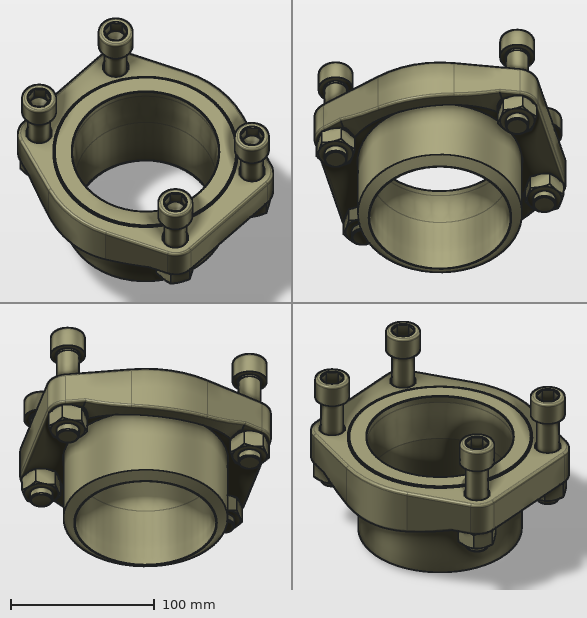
import cadquery as cq
import math

hex_sides = 6
hex_corner_ratio = 1 / math.cos(math.pi / hex_sides)

bolt_x = 65.1
bolt_y = 38.9
bolt_places = [(x, y) for x in (-bolt_x, bolt_x) for y in (-bolt_y, bolt_y)]

collar_top = 80.0
neck_diameter = 114.2
shoulder_diameter = 127.0
shoulder_height = 11.2
mouth_diameter = 102.0
collar_chamfer = 0.5
mouth_depth = 5.0
tube_bore_diameter = 98.2
taper_end = 46.2
weld_bevel_height = 4.2
weld_bevel_width = 7.4
shoulder_bottom = collar_top - shoulder_height

flange_length = 160.0
flange_width = 149.6
flange_top = 79.4
plate_thickness = 25.0
bulge_depth = 10.0
bulge_half_length = 57.0
flange_edge_radius = 2.0
diameter_clearance = 0.8
recess_chamfer = 0.5
bolt_hole_diameter = 18.0
relief_diameter = 130.4
plate_bottom = flange_top - plate_thickness
bulge_bottom = plate_bottom - bulge_depth

screw_top = 121.6
head_diameter = 24.0
head_height = 16.0
head_edge_radius = 1.6
shank_diameter = 15.7
shank_length = 70.0
root_diameter = 17.0
root_height = 1.3
tip_diameter = 14.4
tip_height = 1.0
socket_width = 14.0
socket_depth = 9.6
socket_turn = 39.0
socket_mouth_diameter = 16.3
socket_mouth_angle = 60.0
socket_point_angle = 60.0
head_bottom = screw_top - head_height
screw_bottom = head_bottom - shank_length

nut_width = 24.0
nut_height = 13.0
nut_chamfer_angle = 30.0
nut_corner_diameter = nut_width * hex_corner_ratio
nut_seat_clearance = 0.2
nut_seat_diameter = nut_corner_diameter + nut_seat_clearance


def disc(diameter, bottom, top):
    """A cylinder on the Z axis between two heights."""
    return cq.Workplane("XY").workplane(offset=bottom).circle(diameter / 2).extrude(top - bottom)


def turned(points):
    """A body turned about the Z axis from (radius, height) points."""
    return cq.Workplane("XZ").polyline(points).close().revolve(360, (0, 0), (0, 1))


def hexagon(width, bottom, top):
    """A hexagonal prism on the Z axis, measured across its flats."""
    return (
        cq.Workplane("XY")
        .workplane(offset=bottom)
        .polygon(hex_sides, width * hex_corner_ratio)
        .extrude(top - bottom)
    )


def make_collar():
    neck_radius = neck_diameter / 2
    shoulder_radius = shoulder_diameter / 2
    mouth_radius = mouth_diameter / 2
    bore_radius = tube_bore_diameter / 2
    return turned([
        (bore_radius, 0),
        (neck_radius - weld_bevel_width, 0),
        (neck_radius, weld_bevel_height),
        (neck_radius, shoulder_bottom),
        (shoulder_radius, shoulder_bottom),
        (shoulder_radius, collar_top - collar_chamfer),
        (shoulder_radius - collar_chamfer, collar_top),
        (mouth_radius + collar_chamfer, collar_top),
        (mouth_radius, collar_top - collar_chamfer),
        (mouth_radius, collar_top - mouth_depth),
        (bore_radius, taper_end),
    ])


def flange_block(bottom):
    """A block with the flange outline, from a given height up to the flange top.

    Corner arcs around the bolts are joined to two large arcs about the centre by tangent lines.
    """
    side_x = flange_length / 2
    arc_radius = flange_width / 2
    corner_radius = side_x - bolt_x
    bolt_distance = math.hypot(bolt_x, bolt_y)
    bolt_direction = math.atan2(bolt_y, bolt_x)
    normal = bolt_direction + math.acos((arc_radius - corner_radius) / bolt_distance)

    def on_arc(angle):
        return arc_radius * math.cos(angle), arc_radius * math.sin(angle)

    def on_corner(angle):
        return bolt_x + corner_radius * math.cos(angle), bolt_y + corner_radius * math.sin(angle)

    corner_end = on_corner(normal)
    corner_mid = on_corner(normal / 2)
    arc_start = on_arc(normal)

    def left(point):
        return -point[0], point[1]

    def low(point):
        return point[0], -point[1]

    return (
        cq.Workplane("XY")
        .workplane(offset=bottom)
        .moveTo(side_x, -bolt_y)
        .lineTo(side_x, bolt_y)
        .threePointArc(corner_mid, corner_end)
        .lineTo(*arc_start)
        .threePointArc((0, arc_radius), left(arc_start))
        .lineTo(*left(corner_end))
        .threePointArc(left(corner_mid), (-side_x, bolt_y))
        .lineTo(-side_x, -bolt_y)
        .threePointArc(left(low(corner_mid)), left(low(corner_end)))
        .lineTo(*left(low(arc_start)))
        .threePointArc((0, -arc_radius), low(arc_start))
        .lineTo(*low(corner_end))
        .threePointArc(low(corner_mid), (side_x, -bolt_y))
        .close()
        .extrude(flange_top - bottom)
    )


def bulge_envelope():
    """Everything above the arc of the bulge, as a block across the full width."""
    side_x = flange_length / 2
    arc_radius = (bulge_half_length**2 + bulge_depth**2) / (2 * bulge_depth)
    side_rise = arc_radius - math.sqrt(arc_radius**2 - side_x**2)
    side_z = bulge_bottom + side_rise
    return (
        cq.Workplane("XZ")
        .moveTo(-side_x, flange_top)
        .lineTo(-side_x, side_z)
        .threePointArc((0, bulge_bottom), (side_x, side_z))
        .lineTo(side_x, flange_top)
        .close()
        .extrude(flange_width / 2, both=True)
    )


def make_flange():
    plate = flange_block(plate_bottom).edges("not |Z").fillet(flange_edge_radius)
    bulge = flange_block(bulge_bottom).intersect(bulge_envelope())
    bulge = bulge.edges("not |Z").fillet(flange_edge_radius)
    body = plate.union(bulge)

    bore = disc(neck_diameter + diameter_clearance, bulge_bottom, flange_top)
    recess_radius = (shoulder_diameter + diameter_clearance) / 2
    recess = turned([
        (0, shoulder_bottom),
        (recess_radius, shoulder_bottom),
        (recess_radius, flange_top - recess_chamfer),
        (recess_radius + recess_chamfer, flange_top),
        (0, flange_top),
    ])
    relief = disc(relief_diameter, bulge_bottom, plate_bottom)
    body = body.cut(bore).cut(recess).cut(relief)
    for place in bolt_places:
        hole = disc(bolt_hole_diameter, bulge_bottom, flange_top).translate(place + (0,))
        seat = disc(nut_seat_diameter, bulge_bottom, plate_bottom).translate(place + (0,))
        body = body.cut(hole).cut(seat)
    return body


def make_screw():
    shank_radius = shank_diameter / 2
    shank = turned([
        (0, screw_bottom),
        (tip_diameter / 2, screw_bottom),
        (shank_radius, screw_bottom + tip_height),
        (shank_radius, head_bottom - root_height),
        (root_diameter / 2, head_bottom),
        (0, head_bottom),
    ])
    head = disc(head_diameter, head_bottom, screw_top).faces(">Z").edges().fillet(head_edge_radius)
    body = head.union(shank)

    socket_bottom = screw_top - socket_depth
    socket = hexagon(socket_width, socket_bottom, screw_top).rotate((0, 0, 0), (0, 0, 1), socket_turn)
    point_radius = socket_width / 2
    point_depth = point_radius / math.tan(math.radians(socket_point_angle))
    point = turned([(0, socket_bottom), (point_radius, socket_bottom), (0, socket_bottom - point_depth)])
    mouth_radius = socket_mouth_diameter / 2
    countersink_depth = mouth_radius / math.tan(math.radians(socket_mouth_angle))
    mouth = turned([(0, screw_top), (mouth_radius, screw_top), (0, screw_top - countersink_depth)])
    return body.cut(socket).cut(point).cut(mouth)


def make_nut():
    nut_bottom = plate_bottom - nut_height
    prism = hexagon(nut_width, nut_bottom, plate_bottom)
    corner_radius = nut_corner_diameter / 2
    face_radius = nut_width / 2
    drop = (corner_radius - face_radius) * math.tan(math.radians(nut_chamfer_angle))
    envelope = turned([
        (0, nut_bottom),
        (face_radius, nut_bottom),
        (corner_radius, nut_bottom + drop),
        (corner_radius, plate_bottom - drop),
        (face_radius, plate_bottom),
        (0, plate_bottom),
    ])
    return prism.intersect(envelope).cut(disc(shank_diameter, nut_bottom, plate_bottom))


collar = make_collar()
flange = make_flange()
screws = []
nuts = []
for x, y in bolt_places:
    screws.append(make_screw().translate((x, y, 0)))
    nuts.append(make_nut().translate((x, y, 0)))

result = cq.Compound.makeCompound(
    [collar.val(), flange.val()] + [screw.val() for screw in screws] + [nut.val() for nut in nuts]
)